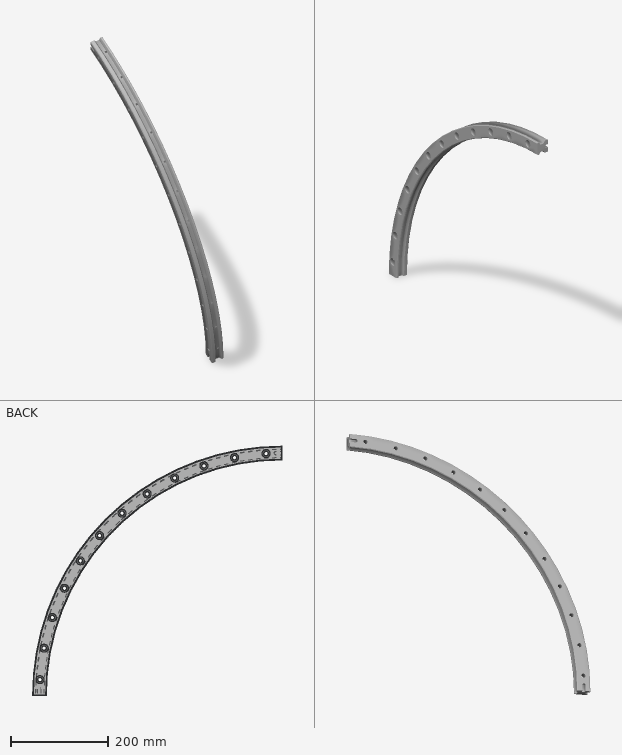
import cadquery as cq
import math

outer_radius = 514.0
rail_height = 28.5
rail_width = 28.0
edge_chamfer = 1.5
sweep_angle = 90.0

groove_center_y = 2.0
groove_mouth = 15.0
groove_floor = 7.5
outer_groove_depth = 6.0
inner_groove_depth = 5.0

hole_count = 12
hole_spacing = 7.5
hole_diameter = 8.5
counterbore_diameter = 16.5
counterbore_depth = 12.0

slot_width = 7.0
slot_length = 16.0
slot_depth = 7.0

inner_radius = outer_radius - rail_height
middle_radius = outer_radius - rail_height / 2
front_y = -rail_width / 2
back_y = rail_width / 2


def sweep_section(section):
    """Revolve a section drawn at the +X end up to the +Z end."""
    return section.close().revolve(sweep_angle, (0, 0, 0), (0, -1, 0))


def rim_groove(rim_radius, floor_radius):
    """Trapezoidal groove narrowing from the rim to its floor."""
    return sweep_section(
        cq.Workplane("XY").polyline([
            (rim_radius, groove_center_y - groove_mouth / 2),
            (floor_radius, groove_center_y - groove_floor / 2),
            (floor_radius, groove_center_y + groove_floor / 2),
            (rim_radius, groove_center_y + groove_mouth / 2),
        ])
    )


def rail_blank():
    """Rectangular ring section with chamfered corners."""
    c = edge_chamfer
    return sweep_section(
        cq.Workplane("XY").polyline([
            (inner_radius + c, front_y),
            (outer_radius - c, front_y),
            (outer_radius, front_y + c),
            (outer_radius, back_y - c),
            (outer_radius - c, back_y),
            (inner_radius + c, back_y),
            (inner_radius, back_y - c),
            (inner_radius, front_y + c),
        ])
    )


def mounting_hole(angle):
    """Through hole and counterbore at an angle in degrees from +X towards +Z."""
    x = middle_radius * math.cos(math.radians(angle))
    z = middle_radius * math.sin(math.radians(angle))
    back = cq.Workplane("XZ", origin=(x, back_y, z))
    hole = back.circle(hole_diameter / 2).extrude(rail_width)
    counterbore = back.circle(counterbore_diameter / 2).extrude(counterbore_depth)
    return hole.union(counterbore)


def end_slot():
    """Slot at the +X end, open on the end face and rounded at its inner end."""
    straight = slot_length - slot_width / 2
    return (
        cq.Workplane("XZ", origin=(middle_radius, front_y + slot_depth, 0))
        .moveTo(-slot_width / 2, 0)
        .lineTo(-slot_width / 2, straight)
        .threePointArc((0, slot_length), (slot_width / 2, straight))
        .lineTo(slot_width / 2, 0)
        .close()
        .extrude(slot_depth)
    )


rail = rail_blank()
rail = rail.cut(rim_groove(outer_radius, outer_radius - outer_groove_depth))
rail = rail.cut(rim_groove(inner_radius, inner_radius + inner_groove_depth))

first_hole_angle = (sweep_angle - (hole_count - 1) * hole_spacing) / 2
for index in range(hole_count):
    rail = rail.cut(mounting_hole(first_hole_angle + index * hole_spacing))

lower_slot = end_slot()
upper_slot = lower_slot.mirror("XY").rotate((0, 0, 0), (0, -1, 0), sweep_angle)
rail = rail.cut(lower_slot).cut(upper_slot)

result = rail